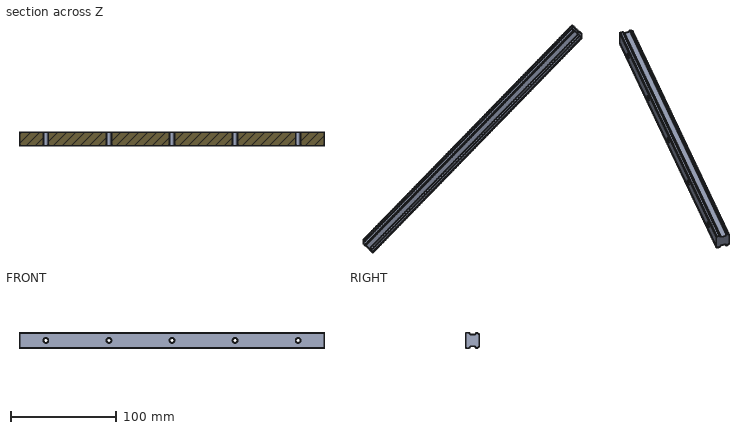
import cadquery as cq
import math

LENGTH = 290.0
WIDTH = 13.0
HEIGHT = 15.0

HOLE_COUNT = 5
HOLE_PITCH = 60.0
HOLE_DIAMETER = 4.5

GROOVE_DEPTH = 1.8
GROOVE_FRONT = 3.52
GROOVE_BACK = 3.5
FRONT_FLANK_ANGLE = 45.0
BACK_FLANK_ANGLE = 68.0
BACK_FLANK_RADIUS = 1.8

BACK_CHAMFER_WIDTH = 2.1
BACK_CHAMFER_HEIGHT = 1.8
FRONT_CHAMFER = 0.65


def upper_profile():
    """Upper half of the Y-Z cross-section, closed along the mid-plane."""
    side = WIDTH / 2
    top = HEIGHT / 2
    floor = top - GROOVE_DEPTH
    front_foot = -GROOVE_FRONT + GROOVE_DEPTH / math.tan(math.radians(FRONT_FLANK_ANGLE))

    angle = math.radians(BACK_FLANK_ANGLE)
    tangent_z = floor + BACK_FLANK_RADIUS * (1 - math.cos(angle))
    tangent_y = GROOVE_BACK - (top - tangent_z) / math.tan(angle)
    back_foot = tangent_y - BACK_FLANK_RADIUS * math.sin(angle)
    return (
        cq.Workplane("YZ", origin=(-LENGTH / 2, 0, 0))
        .moveTo(-side, 0)
        .lineTo(-side, top - FRONT_CHAMFER)
        .lineTo(-side + FRONT_CHAMFER, top)
        .lineTo(-GROOVE_FRONT, top)
        .lineTo(front_foot, floor)
        .lineTo(back_foot, floor)
        .radiusArc((tangent_y, tangent_z), -BACK_FLANK_RADIUS)
        .lineTo(GROOVE_BACK, top)
        .lineTo(side - BACK_CHAMFER_WIDTH, top)
        .lineTo(side, top - BACK_CHAMFER_HEIGHT)
        .lineTo(side, 0)
        .close()
    )


def bar():
    upper_half = upper_profile().extrude(LENGTH)
    return upper_half.union(upper_half.mirror("XY")).clean()


def mounting_holes():
    return (
        cq.Workplane("XZ", origin=(0, WIDTH / 2, 0))
        .rarray(HOLE_PITCH, 1, HOLE_COUNT, 1)
        .circle(HOLE_DIAMETER / 2)
        .extrude(WIDTH)
    )


result = bar().cut(mounting_holes())